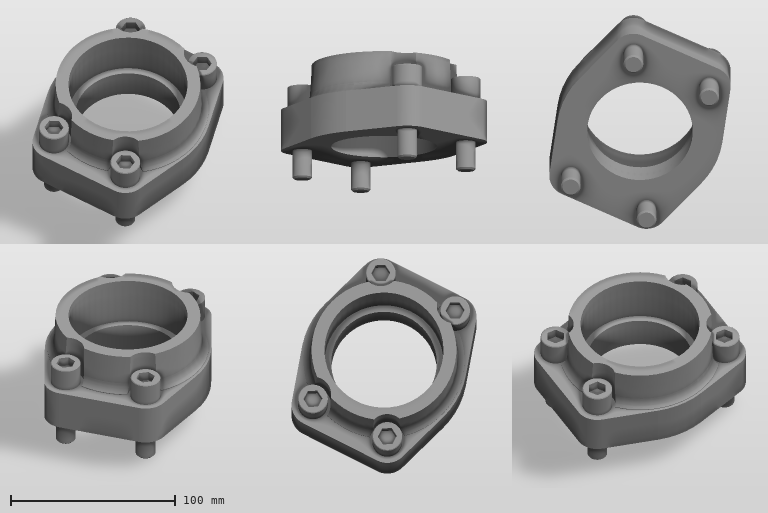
import cadquery as cq
import math

plate_height = 25.2
plate_length = 115.0
side_radius = 50.5
corner_radius = 13.0

collar_height = 24.8
collar_top_radius = 43.9
collar_draft = 3.2
root_fillet = 6.2
root_radius = 48.9

through_bore = 64.0
upper_bore = 72.2
upper_bore_depth = 29.9

screw_spacing_x = 50.8
screw_spacing_y = plate_length - 2 * corner_radius
shank_diameter = 12.0
shank_projection = 17.5
shank_chamfer = 1.0
head_diameter = 18.0
head_height = 14.1
head_edge_chamfer = 0.5
socket_across_flats = 10.0
socket_depth = 6.0
head_clearance_radius = 11.0

body_height = plate_height + collar_height
half_x = screw_spacing_x / 2
half_y = screw_spacing_y / 2
screw_points = [(sx * half_x, sy * half_y) for sx in (-1, 1) for sy in (-1, 1)]


def on_circle(center, radius, angle):
    return (center[0] + radius * math.cos(angle), center[1] + radius * math.sin(angle))


def make_plate():
    """Outline of side arcs and corner arcs joined by common tangents."""
    center_distance = math.hypot(half_x, half_y)
    normal = math.atan2(half_y, half_x) - math.acos((side_radius - corner_radius) / center_distance)
    corner_middle = (normal + math.pi / 2) / 2
    corner = (half_x, half_y)
    side_x, side_y = on_circle((0, 0), side_radius, normal)
    flank_x, flank_y = on_circle(corner, corner_radius, normal)
    middle_x, middle_y = on_circle(corner, corner_radius, corner_middle)
    end_y = plate_length / 2
    return (
        cq.Workplane("XY")
        .moveTo(side_x, -side_y)
        .threePointArc((side_radius, 0), (side_x, side_y))
        .lineTo(flank_x, flank_y)
        .threePointArc((middle_x, middle_y), (half_x, end_y))
        .lineTo(-half_x, end_y)
        .threePointArc((-middle_x, middle_y), (-flank_x, flank_y))
        .lineTo(-side_x, side_y)
        .threePointArc((-side_radius, 0), (-side_x, -side_y))
        .lineTo(-flank_x, -flank_y)
        .threePointArc((-middle_x, -middle_y), (-half_x, -end_y))
        .lineTo(half_x, -end_y)
        .threePointArc((middle_x, -middle_y), (flank_x, -flank_y))
        .close()
        .extrude(plate_height)
    )


def make_collar():
    """Drafted collar whose concave root ends in a low step on the plate."""
    draft = math.radians(collar_draft)
    center_z = plate_height + root_fillet
    wall_radius = collar_top_radius + (body_height - center_z) * math.tan(draft)
    center = (wall_radius + root_fillet / math.cos(draft), center_z)
    start_angle = math.pi + draft
    end_angle = math.pi + math.acos((center[0] - root_radius) / root_fillet)
    fillet_start = on_circle(center, root_fillet, start_angle)
    fillet_middle = on_circle(center, root_fillet, (start_angle + end_angle) / 2)
    fillet_end = on_circle(center, root_fillet, end_angle)
    collar = (
        cq.Workplane("XZ")
        .moveTo(0, plate_height)
        .lineTo(0, body_height)
        .lineTo(collar_top_radius, body_height)
        .lineTo(*fillet_start)
        .threePointArc(fillet_middle, fillet_end)
        .lineTo(root_radius, plate_height)
        .close()
        .revolve(360, (0, 0), (0, 1))
    )
    head_clearance = (
        cq.Workplane("XY", origin=(0, 0, plate_height))
        .pushPoints(screw_points)
        .circle(head_clearance_radius)
        .extrude(collar_height)
    )
    return collar.cut(head_clearance)


def make_bore():
    lower = cq.Workplane("XY").circle(through_bore / 2).extrude(body_height)
    upper = (
        cq.Workplane("XY", origin=(0, 0, body_height))
        .circle(upper_bore / 2)
        .extrude(-upper_bore_depth)
    )
    return lower.union(upper)


def make_screw(x, y):
    head_top = plate_height + head_height
    shank = (
        cq.Workplane("XY", origin=(x, y, -shank_projection))
        .circle(shank_diameter / 2)
        .extrude(shank_projection + plate_height)
        .faces("<Z")
        .chamfer(shank_chamfer)
    )
    head = (
        cq.Workplane("XY", origin=(x, y, plate_height))
        .circle(head_diameter / 2)
        .extrude(head_height)
        .faces(">Z")
        .chamfer(head_edge_chamfer)
    )
    socket = (
        cq.Workplane("XY", origin=(x, y, head_top))
        .transformed(rotate=(0, 0, 90))
        .polygon(6, socket_across_flats / math.cos(math.pi / 6))
        .extrude(-socket_depth)
    )
    return shank.union(head).cut(socket)


result = make_plate().union(make_collar()).cut(make_bore())
for screw_x, screw_y in screw_points:
    result = result.union(make_screw(screw_x, screw_y))